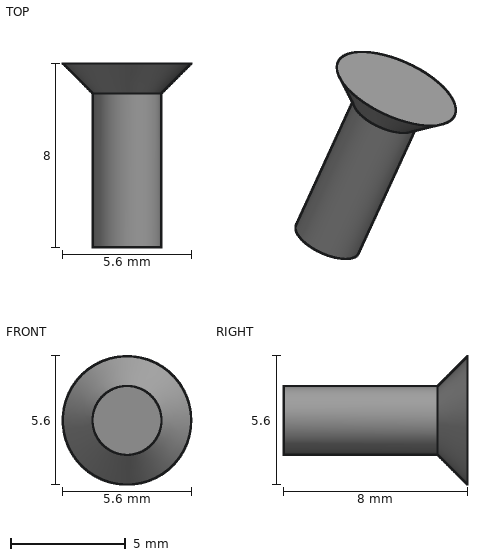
import cadquery as cq

total_length = 8.0
head_diameter = 5.6
shank_diameter = 3.0

head_radius = head_diameter / 2
shank_radius = shank_diameter / 2
head_height = head_radius - shank_radius
shank_end_y = -total_length / 2
head_face_y = total_length / 2

half_section = (
    cq.Workplane("XY")
    .moveTo(0, shank_end_y)
    .lineTo(shank_radius, shank_end_y)
    .lineTo(shank_radius, head_face_y - head_height)
    .lineTo(head_radius, head_face_y)
    .lineTo(0, head_face_y)
    .close()
)

result = half_section.revolve(360, (0, 0, 0), (0, 1, 0))